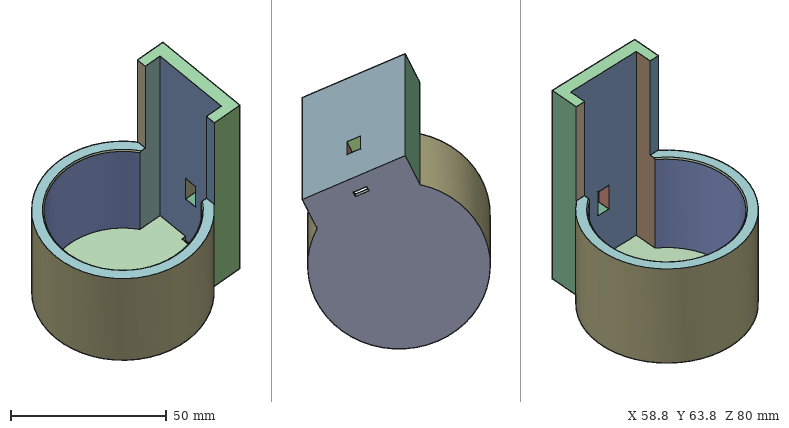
import cadquery as cq

total_height = 80.0
total_depth = 63.8
cup_height = total_height / 2
cup_radius = 29.4

cup_wall = 4.0
bore_radius = cup_radius - cup_wall
rim_chamfer = 0.5
floor_thickness = 2.0

channel_width = 36.6
channel_depth = 11.2
channel_side_wall = 3.8
back_wall = 4.7
back_y = total_depth - cup_radius
pocket_back_y = back_y - back_wall
pocket_width = channel_width - 2 * channel_side_wall

opening_width = 4.8
window_height = 10.0
window_bottom = 20.3
drain_depth = 1.6


def block(width, front_y, rear_y, bottom_z, height):
    """Box centred on X, spanning front_y to rear_y and rising from bottom_z."""
    return (
        cq.Workplane("XY")
        .box(width, rear_y - front_y, height, centered=(True, False, False))
        .translate((0, front_y, bottom_z))
    )


def make_body():
    cup = cq.Workplane("XY").circle(cup_radius).extrude(cup_height)
    channel = block(channel_width, back_y - channel_depth, back_y, 0, total_height)
    foot = block(channel_width, 0, back_y, 0, cup_height)
    return cup.union(channel).union(foot)


def make_bore():
    bore = cq.Workplane("XY").workplane(offset=floor_thickness).circle(bore_radius)
    bore = bore.extrude(cup_height - floor_thickness)
    rim = cq.Workplane(
        cq.Solid.makeCone(
            bore_radius,
            bore_radius + rim_chamfer,
            rim_chamfer,
            cq.Vector(0, 0, cup_height - rim_chamfer),
        )
    )
    return bore.union(rim)


pocket = block(pocket_width, 0, pocket_back_y, floor_thickness, total_height)

window = block(opening_width, pocket_back_y, back_y, window_bottom, window_height)

drain = block(opening_width, pocket_back_y - drain_depth, pocket_back_y, 0, floor_thickness)

result = make_body().cut(make_bore()).cut(pocket).cut(window).cut(drain)